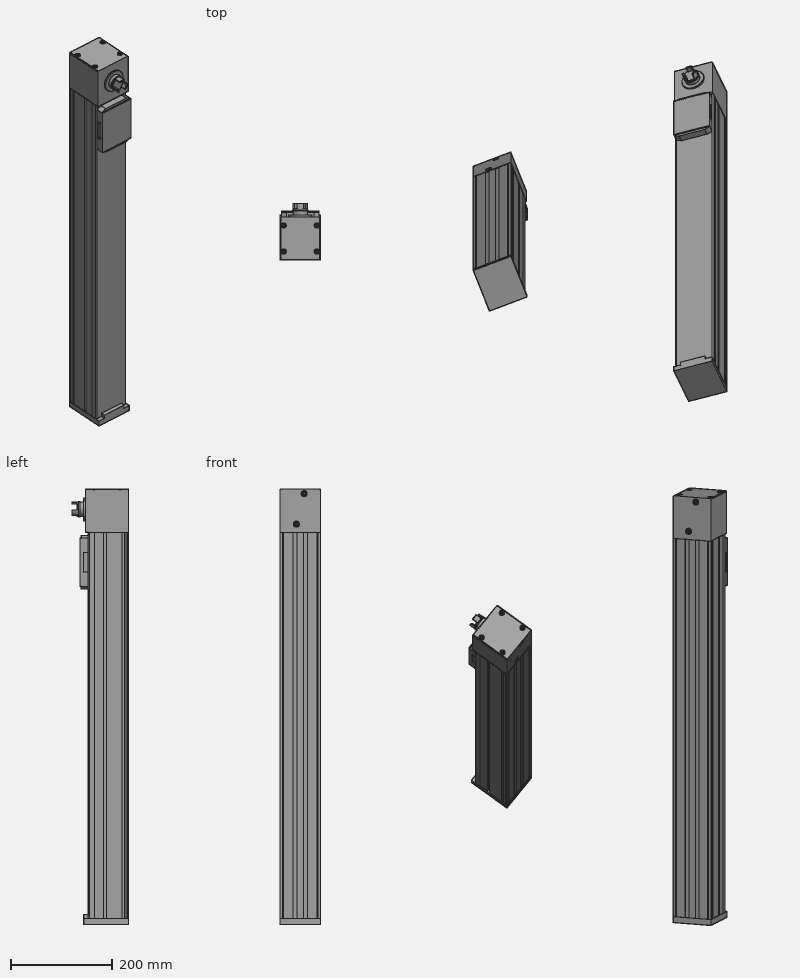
import cadquery as cq
import math

LENGTH = 860.0
WIDTH = 80.0
TOTAL_DEPTH = 112.0

HOUSING_HEIGHT = 86.0
HOUSING_DEPTH = 85.0
HOUSING_EDGE_CHAMFER = 2.0
TOP_SCREW_X = 33.0
TOP_SCREW_Y = 26.0
TOP_SCREW_DIAMETERS = (10.0, 7.0, 3.3)
FRONT_SCREW_X = 8.0
FRONT_SCREW_DROPS = (9.5, 70.0)
FRONT_SCREW_DIAMETERS = (12.0, 8.3, 4.0)
SCREW_STEP_DEPTH = 3.0

PLATE_HEIGHT = 12.0
PLATE_DEPTH = 89.0
LIP_HEIGHT = 20.0
LIP_WIDTH = 52.0

PROFILE_DEPTH = 80.0
PROFILE_BACK_CHAMFER = 3.0
PANEL_RECESS = 1.0
FRONT_PANEL_HALF = 35.0
FRONT_PANEL_TAPER = 3.0
CHANNEL_OUTER = 15.0
CHANNEL_INNER = 7.0
CHANNEL_DEPTH = 2.0
V_GROOVE_START = 3.0
V_GROOVE_WIDTH = 5.0
V_GROOVE_DEPTH = 2.0
SIDE_PANEL_START = 13.0
SIDE_PANEL_END = 67.0
SIDE_SLOT_START = 44.0
SIDE_SLOT_END = 49.0
SIDE_SLOT_DEPTH = 5.0

CARRIAGE_WIDTH = 75.0
CARRIAGE_BACK = 96.0
CARRIAGE_LENGTH = 106.0
CARRIAGE_DROP = 92.0
CAP_LENGTH = 5.0
CAP_SLANT = 10.0
CAP_STEP = 3.0
POCKET_LENGTH = 39.0
POCKET_BACK = 89.0
POCKET_DEPTH = 3.0

CONNECTOR_DROP = 40.0
FLANGE_DIAMETER = 46.0
FLANGE_THICKNESS = 3.5
BARREL_DIAMETER = 29.0
BARREL_END = 101.5
COLLAR_DIAMETER = 30.0
COLLAR_START = 96.0
COLLAR_THICKNESS = 3.0
BORE_DIAMETER = 22.0
PRONG_COUNT = 3
PRONG_ANGLE = 50.0

housing_bottom = LENGTH - HOUSING_HEIGHT
connector_z = LENGTH - CONNECTOR_DROP


def box_between(x0, x1, y0, y1, z0, z1):
    return cq.Workplane("XY").box(x1 - x0, y1 - y0, z1 - z0, centered=False).translate((x0, y0, z0))


def rod(start, direction, diameter, length):
    return cq.Workplane(cq.Solid.makeCylinder(diameter / 2, length, cq.Vector(*start), cq.Vector(*direction)))


def stepped_hole(start, direction, diameters):
    """Tool for a screw recess whose diameters get smaller step by step."""
    tool = cq.Workplane()
    for step, diameter in enumerate(diameters, start=1):
        tool = tool.add(rod(start, direction, diameter, step * SCREW_STEP_DEPTH))
    return tool.combine()


def make_housing():
    body = box_between(-WIDTH / 2, WIDTH / 2, 0, HOUSING_DEPTH, housing_bottom, LENGTH)
    body = body.faces(">Z").edges("|Y").chamfer(HOUSING_EDGE_CHAMFER)
    for side in (-1, 1):
        for end in (-1, 1):
            start = (side * TOP_SCREW_X, HOUSING_DEPTH / 2 + end * TOP_SCREW_Y, LENGTH)
            body = body.cut(stepped_hole(start, (0, 0, -1), TOP_SCREW_DIAMETERS))
    for side, drop in zip((1, -1), FRONT_SCREW_DROPS):
        start = (side * FRONT_SCREW_X, 0, LENGTH - drop)
        body = body.cut(stepped_hole(start, (0, 1, 0), FRONT_SCREW_DIAMETERS))
    return body


def make_end_plate():
    plate = box_between(-WIDTH / 2, WIDTH / 2, 0, PLATE_DEPTH, 0, PLATE_HEIGHT)
    lip = box_between(-LIP_WIDTH / 2, LIP_WIDTH / 2, PROFILE_DEPTH, PLATE_DEPTH, 0, LIP_HEIGHT)
    return plate.union(lip)


def make_profile():
    side = WIDTH / 2
    panel_side = side - PANEL_RECESS
    slot_floor = side - SIDE_SLOT_DEPTH
    panel_half = FRONT_PANEL_HALF - FRONT_PANEL_TAPER
    right_half = [
        (CHANNEL_INNER, PANEL_RECESS),
        (CHANNEL_INNER, CHANNEL_DEPTH),
        (CHANNEL_OUTER, CHANNEL_DEPTH),
        (CHANNEL_OUTER, PANEL_RECESS),
        (panel_half, PANEL_RECESS),
        (FRONT_PANEL_HALF, 0),
        (side, 0),
        (side, V_GROOVE_START),
        (side - V_GROOVE_DEPTH, V_GROOVE_START + V_GROOVE_WIDTH / 2),
        (side, V_GROOVE_START + V_GROOVE_WIDTH),
        (side, SIDE_PANEL_START),
        (panel_side, SIDE_PANEL_START),
        (panel_side, SIDE_SLOT_START),
        (slot_floor, SIDE_SLOT_START),
        (slot_floor, SIDE_SLOT_END),
        (panel_side, SIDE_SLOT_END),
        (panel_side, SIDE_PANEL_END),
        (side, SIDE_PANEL_END),
        (side, PROFILE_DEPTH - PROFILE_BACK_CHAMFER),
        (side - PROFILE_BACK_CHAMFER, PROFILE_DEPTH),
    ]
    left_half = [(-x, y) for x, y in reversed(right_half)]
    section = cq.Workplane("XY").workplane(offset=PLATE_HEIGHT).polyline(right_half + left_half).close()
    return section.extrude(housing_bottom - PLATE_HEIGHT)


def make_carriage():
    half = CARRIAGE_WIDTH / 2
    top = LENGTH - CARRIAGE_DROP
    bottom = top - CARRIAGE_LENGTH
    middle = (top + bottom) / 2
    block = box_between(-half, half, PROFILE_DEPTH, CARRIAGE_BACK, bottom + CAP_LENGTH, top - CAP_LENGTH)
    cap_outline = [
        (half - CAP_SLANT, top),
        (half, top - CAP_LENGTH),
        (half, bottom + CAP_LENGTH),
        (half - CAP_SLANT, bottom),
        (CAP_SLANT - half, bottom),
        (-half, bottom + CAP_LENGTH),
        (-half, top - CAP_LENGTH),
        (CAP_SLANT - half, top),
    ]
    cap_plane = cq.Workplane("XZ").workplane(offset=-PROFILE_DEPTH)
    caps = cap_plane.polyline(cap_outline).close().extrude(PROFILE_DEPTH - CARRIAGE_BACK + CAP_STEP)
    body = block.union(caps)
    low, high = middle - POCKET_LENGTH / 2, middle + POCKET_LENGTH / 2
    for x in (-half, half - POCKET_DEPTH):
        body = body.cut(box_between(x, x + POCKET_DEPTH, PROFILE_DEPTH, POCKET_BACK, low, high))
    return body


def make_connector():
    base = (0, HOUSING_DEPTH, connector_z)
    outward = (0, 1, 0)
    body = rod(base, outward, FLANGE_DIAMETER, FLANGE_THICKNESS)
    body = body.union(rod(base, outward, BARREL_DIAMETER, BARREL_END - HOUSING_DEPTH))
    body = body.union(rod((0, COLLAR_START, connector_z), outward, COLLAR_DIAMETER, COLLAR_THICKNESS))
    ring_start = (0, BARREL_END, connector_z)
    prong_length = TOTAL_DEPTH - BARREL_END
    ring = rod(ring_start, outward, BARREL_DIAMETER, prong_length)
    ring = ring.cut(rod(ring_start, outward, BORE_DIAMETER, prong_length))
    reach = BARREL_DIAMETER
    half_width = reach * math.tan(math.radians(PRONG_ANGLE / 2))
    wedge = (
        cq.Workplane("XZ", origin=ring_start)
        .polyline([(0, 0), (half_width, reach), (-half_width, reach)])
        .close()
        .extrude(-prong_length)
    )
    for index in range(PRONG_COUNT):
        turned = wedge.rotate(base, ring_start, index * 360 / PRONG_COUNT)
        body = body.union(ring.intersect(turned))
    return body


housing = make_housing()
end_plate = make_end_plate()
profile = make_profile()
carriage = make_carriage()
connector = make_connector()

result = cq.Compound.makeCompound(
    [housing.val(), end_plate.val(), profile.val(), carriage.val(), connector.val()]
)